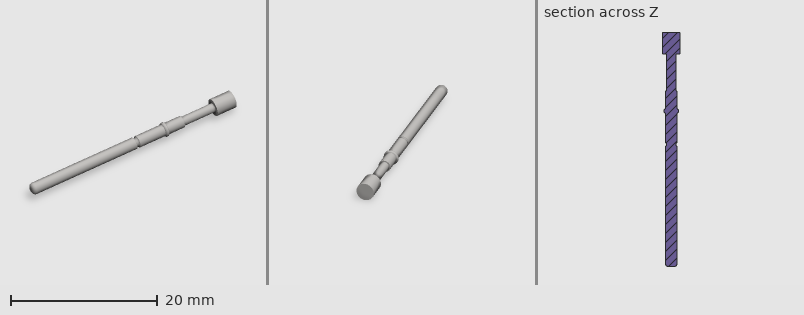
import cadquery as cq

total_length = 32.0
head_diameter = 2.5
head_length = 3.0
stem_diameter = 1.3
barrel_start = 8.0
barrel_diameter = 1.7

bead_diameter = 2.1
bead_centre = 10.75
bead_width = 0.58

groove_centre = 15.33
groove_width = 0.5
groove_depth = 0.2

tip_rounding = 0.48

barrel_radius = barrel_diameter / 2
bead_height = (bead_diameter - barrel_diameter) / 2


def profile_point(distance, radius):
    """Point of the half section as (Y, Z), with Y = 0 at mid-length."""
    return (total_length / 2 - distance, radius)


def barrel_ring(profile, centre, width, rise):
    """Run along the barrel, then over an arc that rises above it (or dips, if negative)."""
    return (
        profile
        .lineTo(*profile_point(centre - width / 2, barrel_radius))
        .threePointArc(
            profile_point(centre, barrel_radius + rise),
            profile_point(centre + width / 2, barrel_radius),
        )
    )


half_section = (
    cq.Workplane("YZ")
    .moveTo(*profile_point(0, 0))
    .lineTo(*profile_point(0, head_diameter / 2))
    .lineTo(*profile_point(head_length, head_diameter / 2))
    .lineTo(*profile_point(head_length, stem_diameter / 2))
    .lineTo(*profile_point(barrel_start, stem_diameter / 2))
    .lineTo(*profile_point(barrel_start, barrel_radius))
)

half_section = barrel_ring(half_section, bead_centre, bead_width, bead_height)
half_section = barrel_ring(half_section, groove_centre, groove_width, -groove_depth)
half_section = (
    half_section
    .lineTo(*profile_point(total_length, barrel_radius))
    .lineTo(*profile_point(total_length, 0))
    .close()
)

pin = half_section.revolve(360, (0, 0, 0), (1, 0, 0))
result = pin.faces("<Y").edges().fillet(tip_rounding)